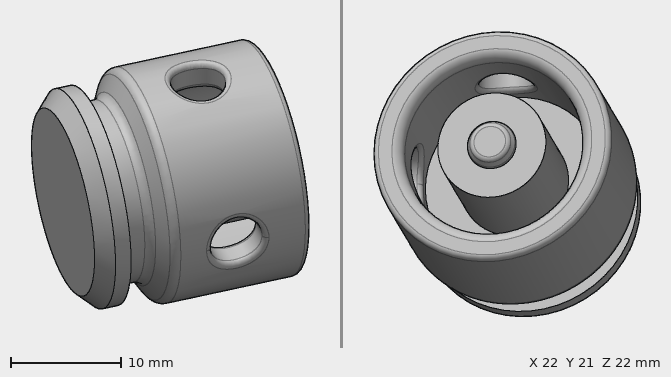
import cadquery as cq
import math

flange_radius = 10.25
flange_length = 3.0
flange_chamfer = 1.5

neck_radius = 8.5
neck_end = 5.5
body_radius = 11.0
body_end = 20.0
shoulder_slope = math.radians(30)
body_start = neck_end + (body_radius - neck_radius) * math.tan(shoulder_slope)
shoulder_fillet = 1.0
outer_rim_fillet = 0.5

cavity_radius = 8.25
cavity_floor = 9.0
stem_radius = 5.0
inner_rim_fillet = 1.0

tip_radius = 2.25
tip_length = 1.0
tip_bevel = 0.5
tip_half_angle = math.radians(30)
tip_fillet = 0.5
tip_root = 1.0
tip_end = body_end + tip_length
tip_end_radius = tip_radius - tip_bevel
tip_cone_start = tip_end - tip_bevel / math.tan(tip_half_angle)

hole_diameter = 5.0
hole_center_y = 13.0
hole_fillet = 0.5
hole_directions = [(0, 0, 1), (1, 0, 0)]

select_margin = 0.05


def turn(half_profile):
    """Revolve a closed outline, given as (radius, y) points, about the Y axis."""
    return cq.Workplane("XY").polyline(half_profile).close().revolve(360, (0, 0, 0), (0, 1, 0))


def round_rim(part, y, radius, fillet_radius):
    """Fillet the circular edge about the Y axis at the given height and radius."""
    low = y - select_margin
    high = y + select_margin
    reach = radius + select_margin
    core = radius - select_margin
    outer_box = cq.selectors.BoxSelector((-reach, low, -reach), (reach, high, reach), boundingbox=True)
    inner_box = cq.selectors.BoxSelector((-core, low, -core), (core, high, core), boundingbox=True)
    return part.edges(outer_box - inner_box).fillet(fillet_radius)


def make_body():
    """Flange, neck, shoulder and main body as one solid of revolution."""
    body = turn([
        (0, 0),
        (flange_radius - flange_chamfer, 0),
        (flange_radius, flange_chamfer),
        (flange_radius, flange_length),
        (neck_radius, flange_length),
        (neck_radius, neck_end),
        (body_radius, body_start),
        (body_radius, body_end),
        (0, body_end),
    ])
    body = round_rim(body, neck_end, neck_radius, shoulder_fillet)
    body = round_rim(body, body_start, body_radius, shoulder_fillet)
    return round_rim(body, body_end, body_radius, outer_rim_fillet)


def cut_cavity(part):
    """Remove the ring between wall and stem, then round the inner rim of the wall."""
    cavity = turn([
        (stem_radius, cavity_floor),
        (cavity_radius, cavity_floor),
        (cavity_radius, body_end),
        (stem_radius, body_end),
    ])
    return round_rim(part.cut(cavity), body_end, cavity_radius, inner_rim_fillet)


def make_tip():
    """Short pin with a steep bevel, rounded where the cone meets the side and the end."""
    tip = turn([
        (0, body_end - tip_root),
        (tip_radius, body_end - tip_root),
        (tip_radius, tip_cone_start),
        (tip_end_radius, tip_end),
        (0, tip_end),
    ])
    tip = round_rim(tip, tip_cone_start, tip_radius, tip_fillet)
    return round_rim(tip, tip_end, tip_end_radius, tip_fillet)


def cut_wall_hole(part, direction):
    """Bore one radial hole into the cavity and round both of its mouths."""
    plane = cq.Plane(origin=(0, hole_center_y, 0), xDir=(0, 1, 0), normal=direction)
    bore_start = (stem_radius + cavity_radius) / 2
    bore = cq.Workplane(plane).workplane(offset=bore_start).circle(hole_diameter / 2).extrude(body_radius)
    part = part.cut(bore)
    for wall_radius in (body_radius, cavity_radius):
        mouth_center = plane.toWorldCoords((0, 0, wall_radius)).toTuple()
        part = part.edges(cq.selectors.NearestToPointSelector(mouth_center)).fillet(hole_fillet)
    return part


result = cut_cavity(make_body()).union(make_tip())
for hole_direction in hole_directions:
    result = cut_wall_hole(result, hole_direction)